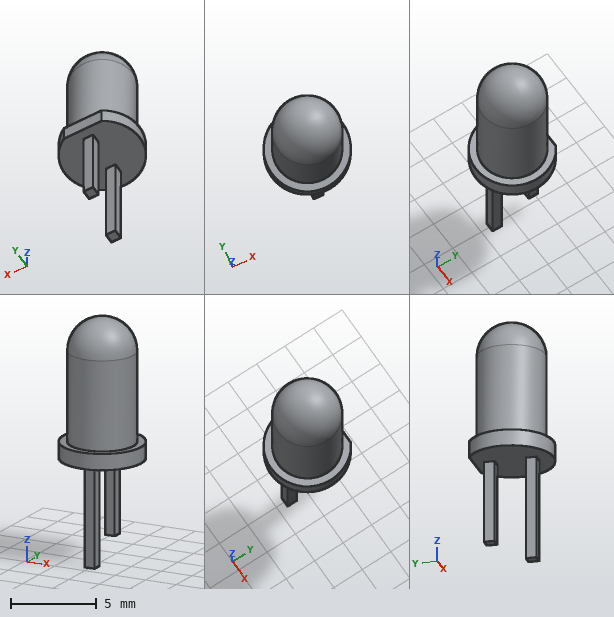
import cadquery as cq

total_height = 14.86

lens_diameter = 4.1
lens_radius = lens_diameter / 2

flange_diameter = 5.1
flange_radius = flange_diameter / 2
flange_thickness = 1.0
flange_depth = 4.75
flat_y = flange_depth - flange_radius

lead_width = 0.64
lead_pitch = 2.54
long_lead_length = 6.3
short_lead_length = 5.0

dome_top_z = total_height - long_lead_length
dome_base_z = dome_top_z - lens_radius


def make_flange():
    disc = cq.Workplane("XY").circle(flange_radius).extrude(flange_thickness)
    keep = cq.Workplane("XY").box(
        flange_diameter, flange_depth, flange_thickness, centered=(True, False, False)
    )
    return disc.intersect(keep.translate((0, flat_y - flange_depth, 0)))


def make_lens():
    """Cylinder rising from the flange underside, with a hemisphere on top."""
    cylinder = cq.Workplane("XY").circle(lens_radius).extrude(dome_base_z)
    dome = (
        cq.Workplane("XZ", origin=(0, 0, dome_base_z))
        .lineTo(lens_radius, 0)
        .radiusArc((0, lens_radius), -lens_radius)
        .close()
        .revolve(360, (0, 0), (0, 1))
    )
    return cylinder.union(dome)


def make_lead(y, length):
    return cq.Workplane("XY").center(0, y).rect(lead_width, lead_width).extrude(-length)


result = (
    make_flange()
    .union(make_lens())
    .union(make_lead(-lead_pitch / 2, long_lead_length))
    .union(make_lead(lead_pitch / 2, short_lead_length))
)